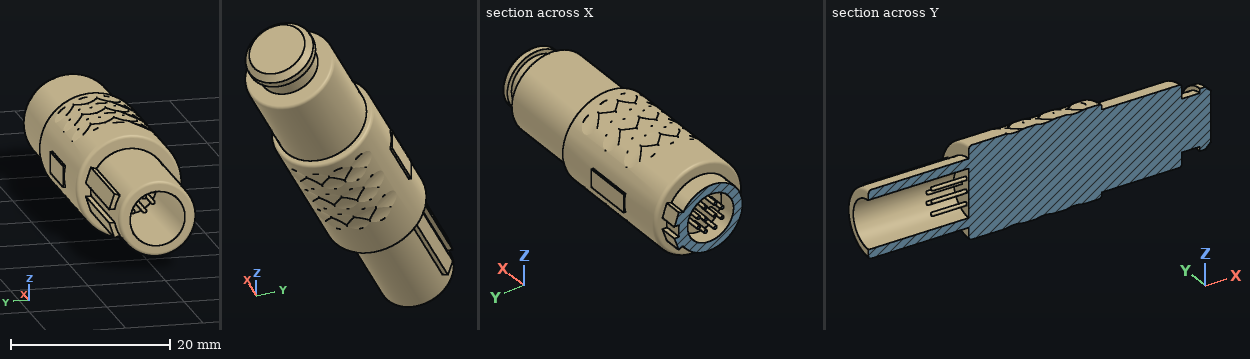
import cadquery as cq
import math

nose_radius = 10.0 / 2
nose_length = 15.05
grip_radius = 13.7 / 2
grip_length = 19.95
sleeve_radius = 12.0 / 2
sleeve_length = 12.0
neck_radius = 7.8 / 2
neck_length = 2.6
collar_radius = 9.1 / 2
total_length = 51.3
edge_round = 0.5
collar_chamfer = 0.8

bore_radius = 3.55
bore_depth = nose_length
pin_radius = 0.25
pin_length = 5.15
pin_tip_round = 0.15
outer_pin_count = 8
outer_pin_circle_radius = 3.95 / 2
inner_pin_offset = 0.7

ridge_start = 2.5
ridge_inner_z = 0.85
ridge_inner_top_y = 5.65
ridge_outer_z = 2.85
ridge_outer_top_y = 5.0
ridge_root_y = 4.15

dimple_depth = 0.2
dimple_cutter_radius = 4.1
dimple_cutter_length = 4.1
dimple_step_angle = 13.0
dimple_row_gap = 1.0
dimple_first_x = 21.95
dimple_band_pitch = 4.5
dimple_band_count = 3
narrow_row_steps = (-2, 0, 2)
wide_row_steps = (-3, -1, 1, 3)

plate_start = 21.45
plate_length = 6.85
plate_width = 2.75
plate_height = 0.15

grip_end = nose_length + grip_length
sleeve_end = grip_end + sleeve_length
neck_end = sleeve_end + neck_length


def rod(start, length, radius):
    """Cylinder around the X axis."""
    return cq.Workplane("YZ", origin=(start, 0, 0)).circle(radius).extrude(length)


def make_nose():
    return rod(0, nose_length, nose_radius).faces("<X").edges().fillet(edge_round)


def make_grip():
    grip = rod(nose_length, grip_length, grip_radius).edges("%CIRCLE").fillet(edge_round)
    return cut_dimples(grip)


def make_tail():
    sleeve = rod(grip_end, sleeve_length, sleeve_radius).faces(">X").edges().fillet(edge_round)
    neck = rod(sleeve_end, neck_length, neck_radius)
    collar = rod(neck_end, total_length - neck_end, collar_radius)
    collar = collar.faces(">X").edges().chamfer(collar_chamfer)
    return sleeve.union(neck).union(collar)


def make_ridges():
    top_slope = (ridge_inner_top_y - ridge_outer_top_y) / (ridge_outer_z - ridge_inner_z)
    outer_root_z = ridge_outer_z - top_slope * (ridge_outer_top_y - ridge_root_y)
    profile = [
        (ridge_root_y, ridge_inner_z),
        (ridge_inner_top_y, ridge_inner_z),
        (ridge_outer_top_y, ridge_outer_z),
        (ridge_root_y, outer_root_z),
    ]
    base = cq.Workplane("YZ", origin=(ridge_start, 0, 0))
    ridge = base.polyline(profile).close().extrude(nose_length - ridge_start)
    return ridge.union(ridge.mirror("XY"))


def make_plate():
    """Block from the axis outward, so only its outermost layer shows above the grip."""
    base = cq.Workplane("XY", origin=(plate_start, 0, 0))
    return base.box(plate_length, grip_radius + plate_height, plate_width, centered=(False, False, True))


def make_dimple_cutter(x, angle):
    """Round bar lying across the grip at the given angle from +Z about the X axis."""
    axis_height = grip_radius - dimple_depth + dimple_cutter_radius
    bar = cq.Workplane("XZ", origin=(x, 0, axis_height)).circle(dimple_cutter_radius)
    bar = bar.extrude(dimple_cutter_length / 2, both=True)
    return bar.rotate((0, 0, 0), (1, 0, 0), angle)


def cut_dimples(grip):
    """Cut bands of two staggered dimple rows into opposite sides of the grip."""
    rows = ((0, narrow_row_steps), (dimple_row_gap, wide_row_steps))
    for band in range(dimple_band_count):
        for row_x, steps in rows:
            x = dimple_first_x + band * dimple_band_pitch + row_x
            for step in steps:
                for side_angle in (0, 180):
                    angle = side_angle + step * dimple_step_angle
                    grip = grip.cut(make_dimple_cutter(x, angle))
    return grip


def make_pins():
    places = [(-inner_pin_offset, 0), (inner_pin_offset, 0)]
    for index in range(outer_pin_count):
        angle = 2 * math.pi * (index + 0.5) / outer_pin_count
        y = outer_pin_circle_radius * math.cos(angle)
        z = outer_pin_circle_radius * math.sin(angle)
        places.append((y, z))
    base = cq.Workplane("YZ", origin=(bore_depth, 0, 0))
    pins = base.pushPoints(places).circle(pin_radius).extrude(-pin_length)
    return pins.faces("<X").edges().fillet(pin_tip_round)


body = make_nose().union(make_ridges())
body = body.union(make_grip()).union(make_plate()).union(make_tail())
result = body.cut(rod(0, bore_depth, bore_radius)).union(make_pins())